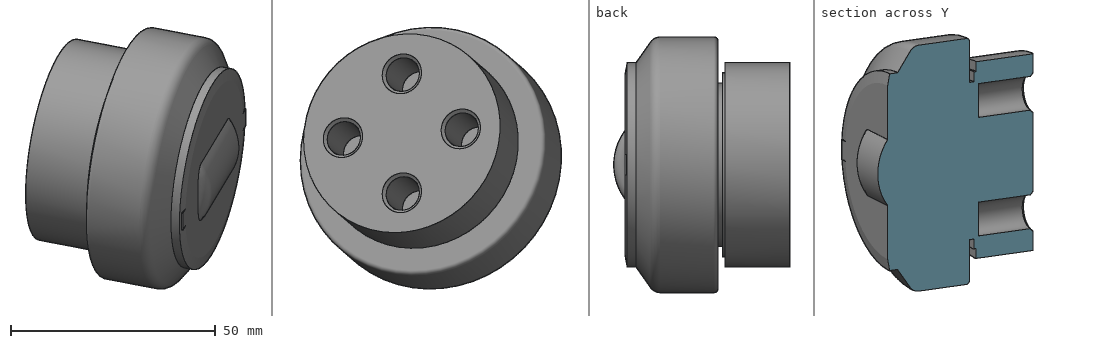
import cadquery as cq
import math


flange_radius = 25.0
flange_length = 15.8

step_radius = 22.5
step_length = 0.6
neck_radius = 20.0
neck_length = 1.05

roller_radius = 31.25
roller_edge_radius = 1.0
shoulder_radius = 3.0
cone_angle = math.radians(55)
cone_end = 37.5

hub_radius = 25.0
hub_end = 40.25
hub_chamfer_length = 0.55
hub_chamfer_depth = 3.0

strip_length = 47.9
strip_width = 5.0

overall_length = 43.0
bar_width = 25.0
bar_crown_radius = 14.1
bar_edge_radius = 2.5

hole_count = 4
hole_circle_radius = 15.0
hole_diameter = 8.45
hole_mouth_diameter = 10.0
hole_depth = 15.0

step_end = flange_length + step_length
roller_start = step_end + neck_length

cone_length = (roller_radius - hub_radius) / math.tan(cone_angle)
shoulder_corner = cone_end - cone_length
shoulder_start = shoulder_corner - shoulder_radius * math.tan(cone_angle / 2)


def shoulder_point(angle):
    """Point (X, radius) on the shoulder arc, at an angle turned from its start."""
    x = shoulder_start + shoulder_radius * math.sin(angle)
    radius = roller_radius - shoulder_radius * (1 - math.cos(angle))
    return x, radius


def make_wheel():
    """Revolve the flange, neck, roller and hub as one body."""
    profile = (
        cq.Workplane("XY")
        .lineTo(0, flange_radius)
        .lineTo(flange_length, flange_radius)
        .lineTo(flange_length, step_radius)
        .lineTo(step_end, step_radius)
        .lineTo(step_end, neck_radius)
        .lineTo(roller_start, neck_radius)
        .lineTo(roller_start, roller_radius - roller_edge_radius)
        .tangentArcPoint((roller_edge_radius, roller_edge_radius))
        .lineTo(shoulder_start, roller_radius)
        .threePointArc(shoulder_point(cone_angle / 2), shoulder_point(cone_angle))
        .lineTo(cone_end, hub_radius)
        .lineTo(hub_end - hub_chamfer_length, hub_radius)
        .lineTo(hub_end, hub_radius - hub_chamfer_depth)
        .lineTo(hub_end, 0)
        .close()
    )
    return profile.revolve(360, (0, 0, 0), (1, 0, 0))


def make_strip():
    """Strip along Y that stands out of the shallow hub chamfer at both ends."""
    chamfer_start = hub_end - hub_chamfer_length
    return (
        cq.Workplane("YZ", origin=(chamfer_start, 0, 0))
        .rect(strip_length, strip_width)
        .extrude(hub_chamfer_length)
    )


def make_bar():
    """Segment of a round-edged disc, lying along Y and cut off at the hub face."""
    disc = (
        cq.Workplane("XZ", origin=(overall_length - bar_crown_radius, 0, 0))
        .circle(bar_crown_radius)
        .extrude(bar_width / 2, both=True)
        .edges("%CIRCLE")
        .fillet(bar_edge_radius)
    )
    slab = (
        cq.Workplane("YZ", origin=(hub_end, 0, 0))
        .rect(bar_width, 2 * bar_crown_radius)
        .extrude(overall_length - hub_end)
    )
    return disc.intersect(slab)


def make_holes():
    """Blind flat-bottomed holes with a 45 degree countersink at the mouth."""
    mouth_radius = hole_mouth_diameter / 2
    hole_radius = hole_diameter / 2
    countersink_depth = mouth_radius - hole_radius
    hole = (
        cq.Workplane("XY")
        .lineTo(0, mouth_radius)
        .lineTo(countersink_depth, hole_radius)
        .lineTo(hole_depth, hole_radius)
        .lineTo(hole_depth, 0)
        .close()
        .revolve(360, (0, 0, 0), (1, 0, 0))
        .translate((0, hole_circle_radius, 0))
    )
    holes = cq.Workplane("XY")
    for index in range(hole_count):
        holes = holes.add(hole.rotate((0, 0, 0), (1, 0, 0), index * 360 / hole_count))
    return holes.combine()


result = make_wheel().union(make_strip()).union(make_bar()).cut(make_holes())